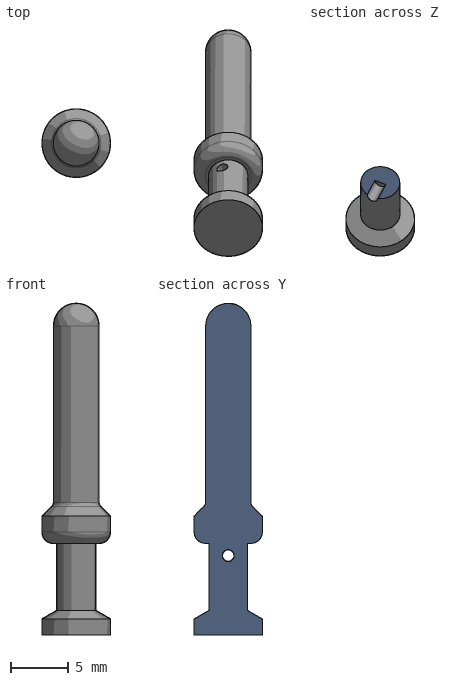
import cadquery as cq
import math

total_height = 29.0

flange_radius = 3.0
foot_height = 1.42
foot_cone_angle = 30.0

neck_radius = 1.725

collar_bottom_z = 8.0
collar_round_radius = 1.0
collar_rim_height = 1.4
collar_cone_angle = 45.0
pin_root_fillet = 0.5

pin_radius = 2.0

side_hole_diameter = 1.0
side_hole_z = 6.95
side_hole_depth = neck_radius

foot_cone_rise = (flange_radius - neck_radius) * math.tan(math.radians(foot_cone_angle))
foot_cone_top_z = foot_height + foot_cone_rise
rim_bottom_z = collar_bottom_z + collar_round_radius
rim_top_z = rim_bottom_z + collar_rim_height
tip_start_z = total_height - pin_radius

root_sweep = math.radians(90.0 - collar_cone_angle)
cone_rise = (flange_radius - pin_radius) * math.tan(math.radians(collar_cone_angle))
root_top_z = rim_top_z + cone_rise + pin_root_fillet * math.tan(root_sweep / 2)


def root_fillet_point(angle):
    """Point (radius, z) on the root fillet, with angle measured from its top."""
    radius = pin_radius + pin_root_fillet * (1 - math.cos(angle))
    return (radius, root_top_z - pin_root_fillet * math.sin(angle))


def point_on_circle(center, radius, angle_degrees):
    """Point on a circle around the center at the given angle."""
    angle = math.radians(angle_degrees)
    return (center[0] + radius * math.cos(angle), center[1] + radius * math.sin(angle))


def make_body():
    """Revolve the half outline, given as (radius, z), about the Z axis."""
    round_center = (flange_radius - collar_round_radius, rim_bottom_z)
    outline = (
        cq.Workplane("XZ")
        .lineTo(flange_radius, 0)
        .lineTo(flange_radius, foot_height)
        .lineTo(neck_radius, foot_cone_top_z)
        .lineTo(neck_radius, collar_bottom_z)
        .lineTo(round_center[0], collar_bottom_z)
        .threePointArc(
            point_on_circle(round_center, collar_round_radius, -45),
            (flange_radius, rim_bottom_z),
        )
        .lineTo(flange_radius, rim_top_z)
        .lineTo(*root_fillet_point(root_sweep))
        .threePointArc(root_fillet_point(root_sweep / 2), (pin_radius, root_top_z))
        .lineTo(pin_radius, tip_start_z)
        .threePointArc(point_on_circle((0, tip_start_z), pin_radius, 45), (0, total_height))
        .close()
    )
    return outline.revolve(360, (0, 0, 0), (0, 1, 0))


def make_side_hole():
    """Cylinder running from the axis outward along +Y."""
    return (
        cq.Workplane("XZ", origin=(0, 0, side_hole_z))
        .circle(side_hole_diameter / 2)
        .extrude(-side_hole_depth)
    )


result = make_body().cut(make_side_hole())